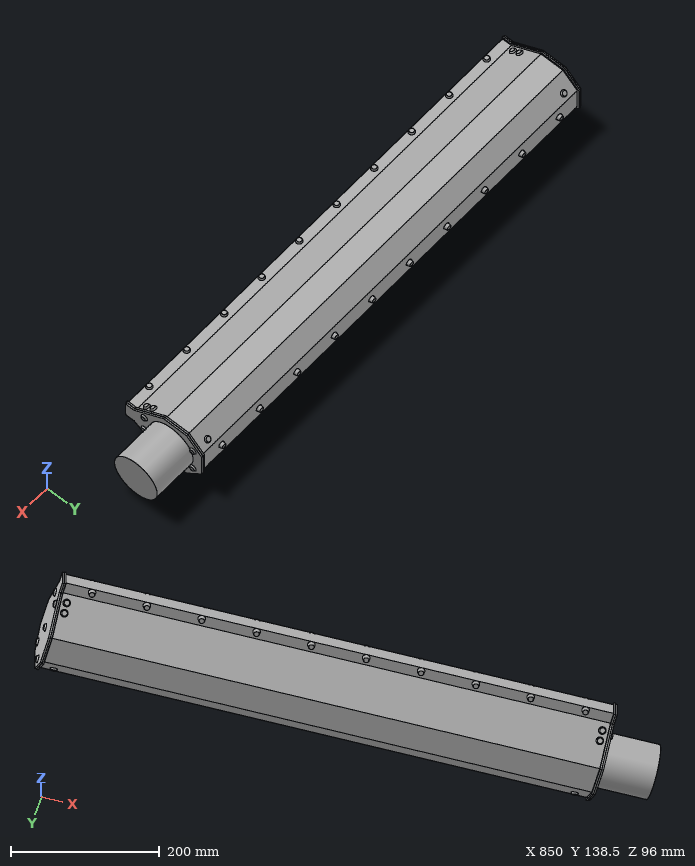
import cadquery as cq

total_length = 850.0
end_head_height = 2.5
plate_thickness = 5.0
housing_length = 764.0
housing_start = end_head_height + plate_thickness
housing_end = housing_start + housing_length
housing_middle = housing_start + housing_length / 2
outlet_diameter = 76.5

back_y = 51.0
front_y = -82.0
housing_top_z = 45.0
back_edge_z = 20.0
top_back_y = 25.5
top_front_y = -14.0
neck_y = -66.0
flange_z = 11.0

plate_rim = 3.0
outer_layer_rim = 2.5
front_trim = 2.5
plate_layer_thickness = plate_thickness / 2

head_top_diameter = 7.6
seam_head_diameter = 10.0
back_head_height = 5.0
flange_top_head_height = 3.0
flange_bottom_head_height = 6.0
side_head_diameter = 10.0
side_head_height = 2.5
end_head_diameter = 11.0
head_overlap = 2.0

seam_screw_count = 10
seam_screw_pitch = 76.5
flange_screw_y = -77.0

back_slope_screw_inset = 19.0
back_slope_screw_y = 43.0
front_slope_screw_inset = 8.5
front_slope_screw_ys = (-44.0, -56.0)

end_screw_places = ((38.0, 21.0), (-48.5, 14.5))


half_outline = [
    (back_y, back_edge_z),
    (top_back_y, housing_top_z),
    (top_front_y, housing_top_z),
    (neck_y, flange_z),
    (front_y, flange_z),
]
lower_outline = [(y, -z) for y, z in reversed(half_outline)]


def housing_section(start_x):
    """Closed housing cross-section at start_x, symmetric about z = 0."""
    section_plane = cq.Workplane("YZ", origin=(start_x, 0, 0))
    return section_plane.polyline(half_outline + lower_outline).close()


def plate_layer(start_x, rim):
    """Layer of an end plate, shaped like the housing with a rim all round, trimmed at its front."""
    layer = housing_section(start_x).offset2D(rim, "intersection").extrude(plate_layer_thickness)
    trimmed_strip = cq.Workplane("XY", origin=(start_x, front_y - rim, 0)).box(
        plate_layer_thickness, front_trim, total_length, centered=(False, False, True)
    )
    return layer.cut(trimmed_strip)


def screw_head(base, direction, diameter, height):
    """Tapered round head standing on base along direction, its root sunk a little into the wall."""
    axis = cq.Vector(*direction).normalized()
    base_point = cq.Vector(*base)
    root = cq.Solid.makeCylinder(diameter / 2, head_overlap, base_point - axis * head_overlap, axis)
    head = cq.Solid.makeCone(diameter / 2, head_top_diameter / 2, height, base_point, axis)
    return root.fuse(head)


def slope_heads(inset, y, start, end):
    """Heads at both housing ends on the slope from start to end (y, z) and on its mirror image."""
    placed = []
    rise = (end[1] - start[1]) / (end[0] - start[0])
    z = start[1] + rise * (y - start[0])
    for x in (housing_start + inset, housing_end - inset):
        for side in (1, -1):
            base = (x, y, side * z)
            placed.append(screw_head(base, (0, -rise, side), side_head_diameter, side_head_height))
    return placed


housing = housing_section(housing_start).extrude(housing_length)
near_plate = plate_layer(end_head_height, outer_layer_rim).union(
    plate_layer(end_head_height + plate_layer_thickness, plate_rim)
)
far_plate = plate_layer(housing_end, plate_rim).union(
    plate_layer(housing_end + plate_layer_thickness, outer_layer_rim)
)
outlet_length = total_length - housing_end
outlet = cq.Workplane("YZ", origin=(housing_end, 0, 0)).circle(outlet_diameter / 2).extrude(outlet_length)

heads = []

for index in range(seam_screw_count):
    x = housing_middle + (index - (seam_screw_count - 1) / 2) * seam_screw_pitch
    heads.append(screw_head((x, back_y, 0), (0, 1, 0), seam_head_diameter, back_head_height))
    for side, height in ((1, flange_top_head_height), (-1, flange_bottom_head_height)):
        base = (x, flange_screw_y, side * flange_z)
        heads.append(screw_head(base, (0, 0, side), seam_head_diameter, height))

back_slope = half_outline[0:2]
front_slope = half_outline[2:4]
heads += slope_heads(back_slope_screw_inset, back_slope_screw_y, *back_slope)
for screw_y in front_slope_screw_ys:
    heads += slope_heads(front_slope_screw_inset, screw_y, *front_slope)

near_face = end_head_height
far_face = housing_end + plate_thickness
heads.append(screw_head((near_face, 0, 0), (-1, 0, 0), end_head_diameter, end_head_height))
for y, z in end_screw_places:
    for side in (1, -1):
        for face_x, outward in ((near_face, -1), (far_face, 1)):
            base = (face_x, y, side * z)
            heads.append(screw_head(base, (outward, 0, 0), end_head_diameter, end_head_height))

result = housing.union(near_plate).union(far_plate).union(outlet)
for head in heads:
    result = result.union(cq.Workplane(head))